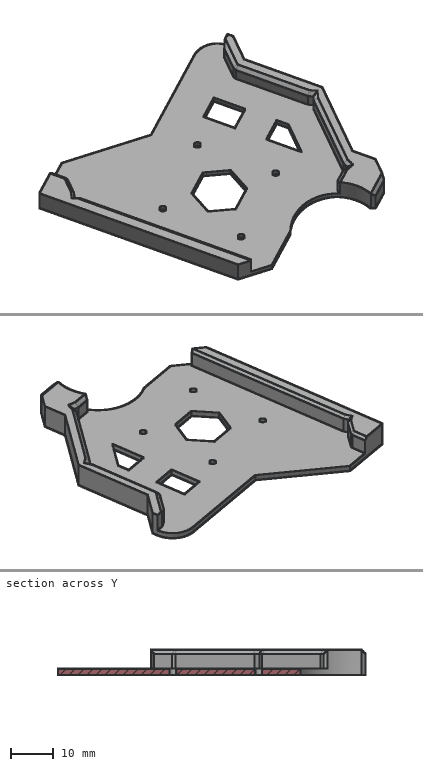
import cadquery as cq
import math

length = 72.0
depth = 59.65
height = 6.0
plate_thickness = 1.5

left_edge_top = 13.0
upper_left_x = 15.8
corner_radius = 6.0
peak_end_x = 23.25
top_edge_y = 54.6
top_edge_end_x = 48.2
ear_y = 40.7
ear_corner_cut = 4.0
lower_right_x = 56.8
lower_corner_cut = 6.0

notch_radius = 11.0
notch_x = 66.9
notch_y = 20.95

wall_width = 3.0
upper_chamfer = 1.0
lower_chamfer = 0.7
corner_bevel = 1.0
soft_bend_setback = 0.4
relief_setback = 1.0
relief_depth = 0.4
block_length = 4.0
block_depth = 7.0

window_y = 38.6
window_height = 6.0
rectangle_x = 25.0
rectangle_width = 8.0
trapezoid_x = 41.0
trapezoid_width = 9.0
hex_x = 36.9
hex_y = 20.6
hex_circumradius = 6.5
screw_diameter = 1.5
screw_spacing = 20.0

round_end_x = upper_left_x + corner_radius
top_edge_start_x = peak_end_x + depth - top_edge_y
ear_start_x = top_edge_end_x + top_edge_y - ear_y
lower_cut_x = lower_right_x - lower_corner_cut


def prism(points, thickness):
    return cq.Workplane("XY").polyline(points).close().extrude(thickness)


def notch_cutter():
    return cq.Workplane("XY").center(notch_x, notch_y).circle(notch_radius).extrude(height)


def toward(start, target, distance):
    """Return the point at the given distance from start in the direction of target."""
    span = math.dist(start, target)
    return tuple(s + (t - s) * distance / span for s, t in zip(start, target))


def softened_bend(before, corner, after):
    """Replace an outward bend with a short flat."""
    return [toward(corner, point, soft_bend_setback) for point in (before, after)]


def relieved_bend(before, corner, after):
    """Replace an inward bend with a shallow V notch cut into the wall."""
    start = toward(corner, before, relief_setback)
    end = toward(corner, after, relief_setback)
    middle = ((start[0] + end[0]) / 2, (start[1] + end[1]) / 2)
    return [start, toward(corner, middle, -relief_depth), end]


def notch_top(x):
    """Return the Y of the notch's upper side at the given X."""
    return notch_y + math.sqrt(notch_radius**2 - (x - notch_x) ** 2)


def vertical_edges(body, corners):
    """Return the vertical edges of body nearest to the given XY corners."""
    return [
        body.edges("|Z").edges(cq.NearestToPointSelector((x, y, height / 2))).val()
        for x, y in corners
    ]


def rim_edges(body, path):
    """Return the top edges of body that follow an XY path."""
    return [
        body.faces(">Z")
        .edges(cq.NearestToPointSelector(((x0 + x1) / 2, (y0 + y1) / 2, height)))
        .val()
        for (x0, y0), (x1, y1) in zip(path, path[1:])
    ]


def base_plate():
    round_start_y = depth - corner_radius
    arc_middle = (
        round_end_x - corner_radius * math.sqrt(0.5),
        round_start_y + corner_radius * math.sqrt(0.5),
    )
    notch_end_y = notch_y - math.sqrt(notch_radius**2 - (notch_x - lower_right_x) ** 2)
    outline = (
        cq.Workplane("XY")
        .polyline([(lower_cut_x, 0), (0, 0), (0, left_edge_top)])
        .lineTo(upper_left_x, left_edge_top + upper_left_x)
        .lineTo(upper_left_x, round_start_y)
        .threePointArc(arc_middle, (round_end_x, depth))
        .lineTo(peak_end_x, depth)
        .lineTo(top_edge_start_x, top_edge_y)
        .lineTo(top_edge_end_x, top_edge_y)
        .lineTo(ear_start_x, ear_y)
        .lineTo(length - ear_corner_cut, ear_y)
        .lineTo(length, ear_y - ear_corner_cut)
        .lineTo(length, notch_y)
        .lineTo(lower_right_x, notch_end_y)
        .lineTo(lower_right_x, lower_corner_cut)
        .close()
    )
    plate = outline.extrude(plate_thickness).cut(notch_cutter())
    tip = vertical_edges(plate, [(length, notch_top(length))])
    return plate.newObject(tip).chamfer(corner_bevel)


def upper_wall():
    diagonal_step = wall_width * math.sqrt(2)
    left_sum = peak_end_x + depth - diagonal_step
    right_sum = top_edge_end_x + top_edge_y - diagonal_step
    inner_y = top_edge_y - wall_width
    end_corner = (round_end_x, left_sum - round_end_x)
    left_bend = (left_sum - inner_y, inner_y)
    middle_bend = (right_sum - inner_y, inner_y)
    right_bend = (ear_start_x, right_sum - ear_start_x)
    notch_corner = (ear_start_x, notch_top(ear_start_x))
    tip = (length, notch_top(length))
    ear_side_top = (length, ear_y - ear_corner_cut)

    inner_path = [
        end_corner,
        *softened_bend(end_corner, left_bend, middle_bend),
        *relieved_bend(left_bend, middle_bend, right_bend),
        *relieved_bend(middle_bend, right_bend, notch_corner),
        notch_corner,
    ]
    outer_path = [
        (length, notch_y),
        ear_side_top,
        (length - ear_corner_cut, ear_y),
        (ear_start_x, ear_y),
        (top_edge_end_x, top_edge_y),
        (top_edge_start_x, top_edge_y),
        (peak_end_x, depth),
        (round_end_x, depth),
    ]
    outline = outer_path + inner_path + [(ear_start_x, notch_y)]
    wall = prism(outline, height).cut(notch_cutter())
    edges = vertical_edges(wall, [end_corner, notch_corner, tip])
    edges += rim_edges(wall, inner_path) + rim_edges(wall, [tip, ear_side_top])
    return wall.newObject(edges).chamfer(upper_chamfer)


def lower_wall():
    block_corner = (block_length, block_depth)
    bend = (block_length + block_depth - wall_width, wall_width)
    block_start = (0, block_depth)
    wall_end = (lower_cut_x + wall_width, wall_width)
    inner_path = [
        block_start,
        *softened_bend(block_start, block_corner, bend),
        *relieved_bend(block_corner, bend, wall_end),
        wall_end,
    ]
    wall = prism([(lower_cut_x, 0), (0, 0)] + inner_path, height)
    wall = wall.newObject(vertical_edges(wall, [wall_end])).chamfer(corner_bevel)
    return wall.newObject(rim_edges(wall, inner_path)).chamfer(lower_chamfer)


def windows():
    rectangle = [
        (rectangle_x, window_y),
        (rectangle_x + rectangle_width, window_y),
        (rectangle_x + rectangle_width, window_y + window_height),
        (rectangle_x, window_y + window_height),
    ]
    trapezoid = [
        (trapezoid_x, window_y),
        (trapezoid_x + trapezoid_width, window_y),
        (trapezoid_x + trapezoid_width - window_height, window_y + window_height),
        (trapezoid_x, window_y + window_height),
    ]
    return prism(rectangle, plate_thickness).union(prism(trapezoid, plate_thickness))


def hex_opening():
    corners = [
        (
            hex_x + hex_circumradius * math.sin(math.radians(angle)),
            hex_y + hex_circumradius * math.cos(math.radians(angle)),
        )
        for angle in range(0, 360, 60)
    ]
    return prism(corners, plate_thickness)


def screw_holes():
    return (
        cq.Workplane("XY")
        .center(hex_x, hex_y)
        .rarray(screw_spacing, screw_spacing, 2, 2)
        .circle(screw_diameter / 2)
        .extrude(plate_thickness)
    )


plate = base_plate().cut(windows()).cut(hex_opening()).cut(screw_holes())
result = plate.union(upper_wall()).union(lower_wall())